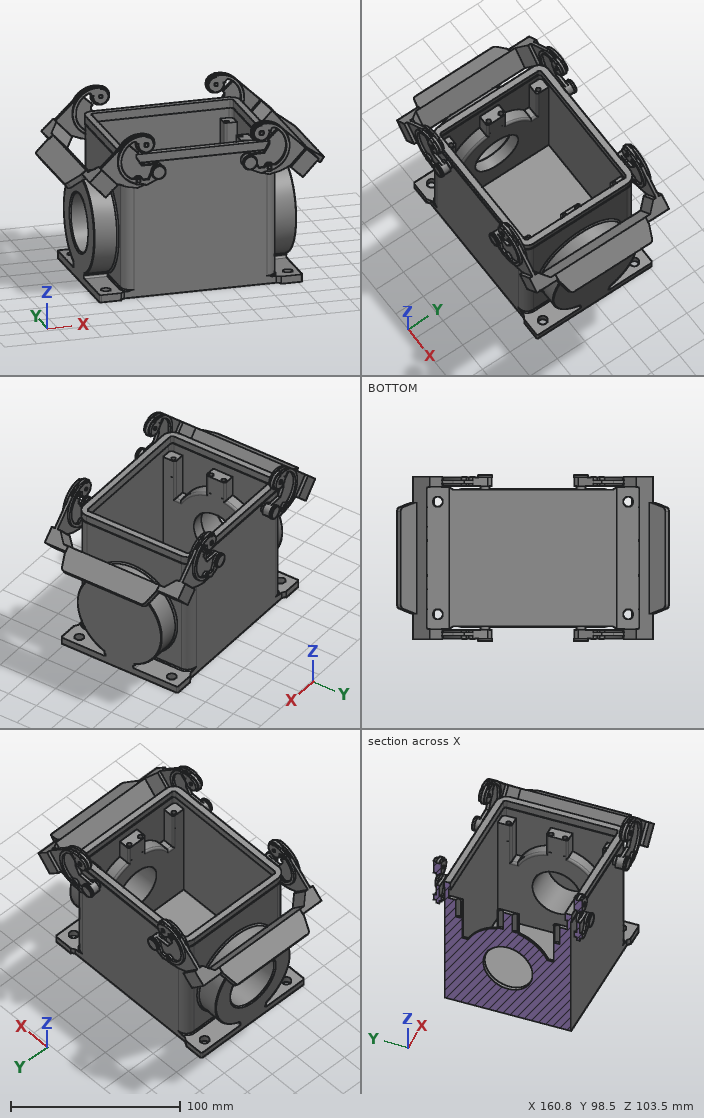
import cadquery as cq
import math

TOWER_X, TOWER_Y = 95.1, 80.8
TOWER_BOTTOM = 0.5
TOWER_CORNER = 6.5
RIM_STEP = 0.5
RIM_BOTTOM, RIM_TOP = 84.5, 90.0
MOUTH_X, MOUTH_Y = 87.7, 73.3
MOUTH_CORNER = 1.6
UNDERCUT_X, UNDERCUT_Y = 0.5, 1.1
CAVITY_X, CAVITY_Y = MOUTH_X + 2 * UNDERCUT_X, MOUTH_Y + 2 * UNDERCUT_Y
CAVITY_CORNER = 2.4
FLOOR_TOP = 4.8

FOOT_TOP = 4.7
FOOT_END_X = 62.7
FOOT_INNER_X = 49.5
FOOT_HALF_Y = 42.0
FOOT_STEP_X = 47.1
FOOT_CORNER = 1.0
FOOT_ROOT = 0.8
MOUNT_HOLE_X, MOUNT_HOLE_Y = 56.2, 33.3
MOUNT_HOLE_R = 2.9

GLAND_Z = 36.0
GLAND_R = 30.4
GLAND_EDGE = 0.5
GLAND_ROOT = 1.0
BORE_R = 17.8
BORE_EDGE = 0.8
BORE_END_X = 44.4
LIP_R = 15.6
CLOSED_WALL = 3.2
WEB_HALF_Y = 10.8
WEB_HEIGHT = 4.8
WEB_ROUND = 1.0

LEDGE_X = 36.6
LEDGE_TOP = 50.3
ARCH_R = 29.2
LEDGE_EDGE = 1.5
POST_TOP = 78.1
POST_BOTTOM = LEDGE_TOP - 2 * LEDGE_EDGE
POST_EDGE = 1.3
SIDE_POST_Y = 29.1
CENTRE_POST_Y = 6.9
SCREW_HOLE_X = 38.7
SCREW_HOLE_YS = (4.5, 31.7)
SCREW_HOLE_R = 1.5
SCREW_HOLE_DEPTH = 12.9

TILT = math.radians(43.5)
HOOK_X, HOOK_Z = -38.1, 88.5
HOOK_R = 15.0
HOOK_INNER_R = 13.0
EYE_X, EYE_Z = -35.7, 97.9
EYE_R = 4.7
THROAT_X, THROAT_Z = -43.2, 98.8
THROAT_R = 1.8
ROLLER_R = 5.6
PIN_X, PIN_Z = -28.3, 80.4
PIN_R = 2.7
PIN_EYE_R = 4.0
PIN_HEAD_R = 4.3
PIN_HEAD_EDGE = 0.5
PIN_ROOT_Y = (CAVITY_Y + TOWER_Y) / 4
PIN_SPAN = 98.5
PIN_END_Y = PIN_SPAN / 2
RIVET_X, RIVET_Z = -40.5, 76.0
RIVET_R = 1.5
RIVET_BOSS_R = 2.5
RIVET_HEIGHT = 0.5
RIVET_EDGE = 0.4
PAD_TOP = [(-47.4, 77.1), (-38.5, 77.1), (-37.3, 76.0), (-34.0, 76.0)]
PAD_BOTTOM = (-35.7, 72.6)
PIN_TANGENT = (-26.7, 76.7)
ARM_TIP = 0.6
ARM_MOUTH = [(-40.2, 92.7), (-41.3, 91.6), (-41.3, 90.2), (-38.0, 84.5)]
ARM_BELLY = [(-40.7, 70.9), (-47.4, 72.3)]
INNER_PLATE_Y, ARM_PLATE_Y, OUTER_PLATE_Y, OUTER_FACE_Y = 42.5, 43.9, 46.0, 47.5

HANDLE_START, HANDLE_END = 20.7, 31.0
HANDLE_WIDTH = 14.3
HANDLE_BAR = 3.5
HANDLE_HALF_Y = 48.0
BLOCK_INNER_Y, BAR_HALF_Y = 42.0, 36.2
FLAP_TILT = math.radians(36)
FLAP_THICKNESS = 3.9
FLAP_ROOT_Y, FLAP_TIP_Y = 32.8, 29.4
FLAP_NECK = 4.5
FLAP_CORNER = 2.4
FLAP_END_X = -80.4

WHOLE_EDGE = 0.99


def box(x0, x1, y0, y1, z0, z1):
    return cq.Workplane("XY").box(x1 - x0, y1 - y0, z1 - z0, centered=False).translate((x0, y0, z0))


def rod_x(radius, x0, x1):
    """Cylinder on the gland axis."""
    return cq.Workplane("YZ", origin=(x0, 0, GLAND_Z)).circle(radius).extrude(x1 - x0)


def rod_y(x, z, radius, y0, y1):
    return cq.Workplane("XZ", origin=(x, y0, z)).circle(radius).extrude(-(y1 - y0))


def plate(points, y0, y1):
    """Flat plate with an outline in XZ, between two Y positions."""
    return cq.Workplane("XZ", origin=(0, y0, 0)).polyline(points).close().extrude(-(y1 - y0))


def both_ends(shape):
    return shape.union(shape.mirror("YZ"))


def both_sides(shape):
    return shape.union(shape.mirror("XZ"))


def make_tower():
    wall = cq.Workplane("XY").rect(TOWER_X, TOWER_Y).extrude(RIM_TOP)
    wall = wall.edges("|Z").fillet(TOWER_CORNER)
    rim = cq.Workplane("XY", origin=(0, 0, RIM_BOTTOM))
    rim = rim.rect(TOWER_X + 2 * RIM_STEP, TOWER_Y + 2 * RIM_STEP).extrude(RIM_TOP - RIM_BOTTOM)
    rim = rim.edges("|Z").fillet(TOWER_CORNER + RIM_STEP)
    base = box(-TOWER_X / 2, TOWER_X / 2, -TOWER_Y / 2, TOWER_Y / 2, TOWER_BOTTOM, FOOT_TOP)
    below = box(-TOWER_X, TOWER_X, -TOWER_Y, TOWER_Y, -TOWER_BOTTOM, TOWER_BOTTOM)
    return wall.union(rim).union(base).cut(below)


def make_cavity():
    cavity = cq.Workplane("XY", origin=(0, 0, FLOOR_TOP)).rect(CAVITY_X, CAVITY_Y)
    cavity = cavity.extrude(RIM_BOTTOM - FLOOR_TOP).edges("|Z").fillet(CAVITY_CORNER)
    mouth = cq.Workplane("XY", origin=(0, 0, RIM_BOTTOM)).rect(MOUTH_X, MOUTH_Y)
    return cavity.union(mouth.extrude(RIM_TOP - RIM_BOTTOM).edges("|Z").fillet(MOUTH_CORNER))


def make_foot():
    inner_x, inner_y = FOOT_STEP_X, TOWER_Y / 2
    outline = [
        (-inner_x, inner_y), (-FOOT_INNER_X, FOOT_HALF_Y), (-FOOT_END_X, FOOT_HALF_Y),
        (-FOOT_END_X, -FOOT_HALF_Y), (-FOOT_INNER_X, -FOOT_HALF_Y), (-inner_x, -inner_y),
    ]
    foot = cq.Workplane("XY").polyline(outline).close().extrude(FOOT_TOP)
    foot = foot.edges("|Z and <X").fillet(FOOT_CORNER)
    foot = foot.cut(box(-FOOT_INNER_X, 0, -FOOT_HALF_Y, FOOT_HALF_Y, 0, TOWER_BOTTOM))
    root = cq.Workplane("XY", origin=(0, 0, FOOT_TOP)).rect(TOWER_X + 2 * FOOT_ROOT, TOWER_Y + 2 * FOOT_ROOT)
    root = root.extrude(FOOT_ROOT).edges("|Z").fillet(TOWER_CORNER + FOOT_ROOT)
    root = root.faces(">Z").edges().chamfer(FOOT_ROOT * WHOLE_EDGE)
    corner_x = TOWER_X / 2 - TOWER_CORNER
    root = root.intersect(box(-FOOT_END_X, -corner_x, -inner_y, inner_y, FOOT_TOP, FOOT_TOP + FOOT_ROOT))
    foot = foot.union(root)
    holes = cq.Workplane("XY").pushPoints([(-MOUNT_HOLE_X, y) for y in (-MOUNT_HOLE_Y, MOUNT_HOLE_Y)])
    return foot.cut(holes.circle(MOUNT_HOLE_R).extrude(FOOT_TOP))


def make_gland():
    wall_x = -TOWER_X / 2
    barrel = rod_x(GLAND_R, -FOOT_END_X, wall_x).faces("<X").chamfer(GLAND_EDGE)
    root = cq.Workplane("YZ", origin=(wall_x - GLAND_ROOT, 0, GLAND_Z)).circle(GLAND_R)
    root = root.workplane(offset=GLAND_ROOT).circle(GLAND_R + GLAND_ROOT).loft()
    web = box(-FOOT_END_X, wall_x, -WEB_HALF_Y, WEB_HALF_Y, FOOT_TOP, FOOT_TOP + WEB_HEIGHT)
    for y in (-WEB_HALF_Y, WEB_HALF_Y):
        rounding = cq.Workplane("YZ", origin=(-FOOT_END_X, y, FOOT_TOP + WEB_ROUND))
        web = web.cut(rounding.circle(WEB_ROUND).extrude(FOOT_END_X + wall_x))
    return barrel.union(root).union(web)


def make_thick_end_wall():
    half_y = CAVITY_Y / 2
    wall = box(-CAVITY_X / 2, -LEDGE_X, -half_y, half_y, FLOOR_TOP, LEDGE_TOP)
    below_floor = box(-CAVITY_X, 0, -half_y, half_y, FLOOR_TOP - ARCH_R, FLOOR_TOP)
    wall = wall.union(rod_x(ARCH_R, -CAVITY_X / 2, -LEDGE_X).cut(below_floor))
    top_edges = wall.faces(">X").edges(cq.selectors.BoxSelector(
        (-CAVITY_X, -half_y + LEDGE_EDGE, LEDGE_TOP - LEDGE_EDGE), (0, half_y - LEDGE_EDGE, RIM_TOP)))
    wall = top_edges.fillet(LEDGE_EDGE)
    for y0, y1 in ((-half_y, -SIDE_POST_Y), (-CENTRE_POST_Y, CENTRE_POST_Y), (SIDE_POST_Y, half_y)):
        post = box(-CAVITY_X / 2, -LEDGE_X, y0, y1, POST_BOTTOM, POST_TOP)
        for y in (y0, y1):
            if abs(y) < half_y:
                corner = cq.selectors.NearestToPointSelector((-LEDGE_X, y, (POST_BOTTOM + POST_TOP) / 2))
                post = post.edges(corner).fillet(POST_EDGE)
        wall = wall.union(post)
    screws = cq.Workplane("XY", origin=(0, 0, POST_TOP - SCREW_HOLE_DEPTH))
    screws = screws.pushPoints([(-SCREW_HOLE_X, side * y) for side in (-1, 1) for y in SCREW_HOLE_YS])
    return wall.cut(screws.circle(SCREW_HOLE_R).extrude(SCREW_HOLE_DEPTH))


def make_open_bore():
    bore = rod_x(BORE_R, -FOOT_END_X, -BORE_END_X).faces(">X").chamfer(BORE_EDGE)
    mouth = cq.Workplane("YZ", origin=(-FOOT_END_X, 0, GLAND_Z)).circle(BORE_R + BORE_EDGE)
    mouth = mouth.workplane(offset=BORE_EDGE).circle(BORE_R).loft()
    return bore.union(mouth).union(rod_x(LIP_R, -BORE_END_X, -LEDGE_X))


def make_closed_bore():
    return rod_x(LIP_R, LEDGE_X, FOOT_END_X - CLOSED_WALL)


def arm_point(along, outward):
    """XZ point at a distance down the arm and a distance out from the hook centre."""
    x = HOOK_X - along * math.cos(TILT) - outward * math.sin(TILT)
    z = HOOK_Z - along * math.sin(TILT) + outward * math.cos(TILT)
    return (x, z)


def make_c_plate(y0, y1):
    ring = rod_y(HOOK_X, HOOK_Z, HOOK_R, y0, y1).cut(rod_y(HOOK_X, HOOK_Z, HOOK_INNER_R, y0, y1))
    open_side = box(EYE_X, HOOK_X + 2 * HOOK_R, y0, y1, HOOK_Z - 2 * HOOK_R, HOOK_Z + 2 * HOOK_R)
    throat = box(THROAT_X, EYE_X, y0, y1, THROAT_Z, HOOK_Z + HOOK_R)
    throat = throat.intersect(rod_y(HOOK_X, HOOK_Z, HOOK_R, y0, y1))
    throat = throat.cut(rod_y(THROAT_X, THROAT_Z, THROAT_R, y0, y1))
    pad = [
        *PAD_TOP, (PIN_X - PIN_EYE_R, PIN_Z), PIN_TANGENT, PAD_BOTTOM, (HOOK_X, HOOK_Z - HOOK_R),
    ]
    c_plate = ring.cut(open_side).union(plate(pad, y0, y1)).union(throat)
    for x, z, radius in ((EYE_X, EYE_Z, EYE_R), (PIN_X, PIN_Z, PIN_EYE_R), (RIVET_X, RIVET_Z, RIVET_BOSS_R)):
        c_plate = c_plate.union(rod_y(x, z, radius, y0, y1))
    return c_plate


def make_arm_plate():
    outline = [
        arm_point(HANDLE_START, HOOK_R), arm_point(-ARM_TIP, HOOK_R),
        *ARM_MOUTH, (PIN_X, PIN_Z + PIN_EYE_R), PIN_TANGENT, PAD_BOTTOM, *ARM_BELLY,
        arm_point(HANDLE_START, HOOK_R - HANDLE_WIDTH),
    ]
    arm = plate(outline, ARM_PLATE_Y, OUTER_PLATE_Y)
    arm = arm.union(rod_y(PIN_X, PIN_Z, PIN_EYE_R, ARM_PLATE_Y, OUTER_PLATE_Y))
    return arm.union(rod_y(EYE_X, EYE_Z, ROLLER_R, ARM_PLATE_Y, OUTER_PLATE_Y))


def make_lever_side():
    side = make_c_plate(INNER_PLATE_Y, ARM_PLATE_Y).union(make_c_plate(OUTER_PLATE_Y, OUTER_FACE_Y))
    side = side.union(make_arm_plate())
    for x, z in ((EYE_X, EYE_Z), (RIVET_X, RIVET_Z)):
        rivet = rod_y(x, z, RIVET_R, OUTER_PLATE_Y, OUTER_FACE_Y + RIVET_HEIGHT)
        side = side.union(rivet.faces(">Y").chamfer(RIVET_EDGE))
    side = side.cut(rod_y(EYE_X, EYE_Z, RIVET_R - RIVET_EDGE, INNER_PLATE_Y, INNER_PLATE_Y + RIVET_HEIGHT))
    head = rod_y(PIN_X, PIN_Z, PIN_HEAD_R, OUTER_FACE_Y, PIN_END_Y).faces(">Y").chamfer(PIN_HEAD_EDGE)
    shaft = rod_y(PIN_X, PIN_Z, PIN_R, PIN_ROOT_Y, OUTER_FACE_Y)
    return side.union(head).union(shaft)


def make_handle():
    bar_start = HANDLE_END - HANDLE_BAR
    plan = [
        (HANDLE_END, -HANDLE_HALF_Y), (HANDLE_START, -HANDLE_HALF_Y), (HANDLE_START, -BLOCK_INNER_Y),
        (bar_start, -BAR_HALF_Y), (bar_start, BAR_HALF_Y), (HANDLE_START, BLOCK_INNER_Y),
        (HANDLE_START, HANDLE_HALF_Y), (HANDLE_END, HANDLE_HALF_Y),
    ]
    x, z = arm_point(0, HOOK_R)
    down_arm = (-math.cos(TILT), 0, -math.sin(TILT))
    outward = (-math.sin(TILT), 0, math.cos(TILT))
    top = cq.Workplane(cq.Plane(origin=(x, 0, z), xDir=down_arm, normal=outward))
    bar = top.polyline(plan).close().extrude(-HANDLE_WIDTH)

    flap_x, flap_z = arm_point(bar_start, HOOK_R)
    flap_length = (flap_x - FLAP_END_X) / math.cos(FLAP_TILT)
    flap_plane = cq.Plane(
        origin=(flap_x, 0, flap_z),
        xDir=(-math.cos(FLAP_TILT), 0, -math.sin(FLAP_TILT)),
        normal=(-math.sin(FLAP_TILT), 0, math.cos(FLAP_TILT)),
    )
    half = [(0, FLAP_ROOT_Y), (FLAP_NECK, FLAP_ROOT_Y), (flap_length, FLAP_TIP_Y)]
    outline = half + [(s, -y) for s, y in reversed(half)]
    flap = cq.Workplane(flap_plane).polyline(outline).close().extrude(-FLAP_THICKNESS)
    flap = flap.faces("<X").edges("not |Y").fillet(FLAP_CORNER)
    return bar.union(flap)


housing = make_tower().cut(make_cavity())
housing = housing.union(both_ends(make_foot().union(make_gland()).union(make_thick_end_wall())))
housing = housing.cut(make_open_bore()).cut(make_closed_bore())
lever = both_sides(make_lever_side()).union(make_handle())
result = housing.union(both_ends(lever))